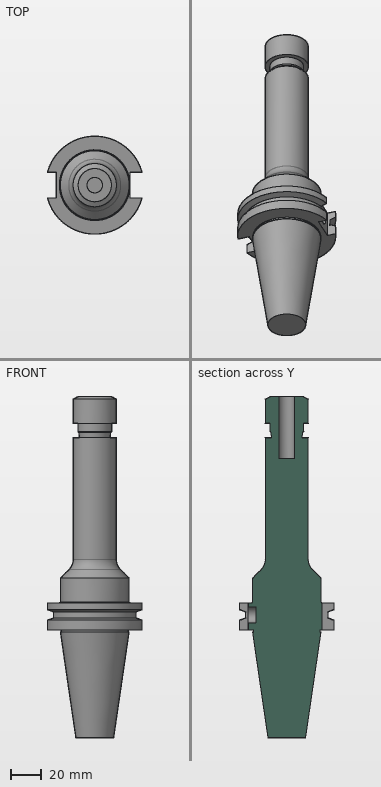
import math

import cadquery as cq


gauge_diameter = 44.45
taper_ratio = 7 / 24
taper_length = 68.25
relief_diameter = 43.6

flange_diameter = 63.5
flange_bottom = 1.4
flange_top = 19.05
groove_bottom_diameter = 55.8
groove_center = 11.2
groove_floor_width = 3.9
groove_mouth_width = 6.8

slot_width = 16.38
slot_face_left = 25.0
slot_face_right = 22.9
dimple_diameter = 10.0
dimple_depth = 5.0

collar_diameter = 45.8
collar_height = 0.5
body_diameter = gauge_diameter
body_top = 35.0
shoulder_angle = 45
blend_radius = 9.5
stem_diameter = 28.0
stem_top = 125.8

projection = 152.4
nose_root_diameter = 20.0
nose_diameter = 20.7
skirt_diameter = 22.0
skirt_step_height = 0.65
skirt_bottom = 129.7
nut_bottom = 135.0
nut_diameter = 28.0
nut_face_diameter = 21.5
nut_chamfer_height = 1.7
bore_diameter = 10.0
bore_depth = 40.0


def tan_deg(angle):
    return math.tan(math.radians(angle))


def make_turned_body():
    """Revolve the half outline of all turned surfaces about Z."""
    flange_r = flange_diameter / 2
    groove_r = groove_bottom_diameter / 2
    body_r = body_diameter / 2
    stem_r = stem_diameter / 2
    tip_r = (gauge_diameter - taper_length * taper_ratio) / 2

    mouth_low = groove_center - groove_mouth_width / 2
    mouth_high = groove_center + groove_mouth_width / 2
    floor_low = groove_center - groove_floor_width / 2
    floor_high = groove_center + groove_floor_width / 2
    collar_top = flange_top + collar_height

    half_sweep = math.radians(shoulder_angle / 2)
    full_sweep = math.radians(shoulder_angle)
    blend_end_r = stem_r + blend_radius * (1 - math.cos(full_sweep))
    blend_end_z = body_top + (body_r - blend_end_r) * tan_deg(shoulder_angle)
    blend_start_z = blend_end_z + blend_radius * math.sin(full_sweep)
    blend_mid_r = stem_r + blend_radius * (1 - math.cos(half_sweep))
    blend_mid_z = blend_start_z - blend_radius * math.sin(half_sweep)

    outline = (
        cq.Workplane("XZ")
        .moveTo(0, -taper_length)
        .lineTo(tip_r, -taper_length)
        .lineTo(gauge_diameter / 2, 0)
        .lineTo(relief_diameter / 2, 0)
        .lineTo(relief_diameter / 2, flange_bottom)
        .lineTo(flange_r, flange_bottom)
        .lineTo(flange_r, mouth_low)
        .lineTo(groove_r, floor_low)
        .lineTo(groove_r, floor_high)
        .lineTo(flange_r, mouth_high)
        .lineTo(flange_r, flange_top)
        .lineTo(collar_diameter / 2, flange_top)
        .lineTo(body_r, collar_top)
        .lineTo(body_r, body_top)
        .lineTo(blend_end_r, blend_end_z)
        .threePointArc((blend_mid_r, blend_mid_z), (stem_r, blend_start_z))
        .lineTo(stem_r, stem_top)
        .lineTo(nose_root_diameter / 2, stem_top)
        .lineTo(nose_diameter / 2, skirt_bottom - skirt_step_height)
        .lineTo(skirt_diameter / 2, skirt_bottom)
        .lineTo(skirt_diameter / 2, nut_bottom)
        .lineTo(nut_diameter / 2, nut_bottom)
        .lineTo(nut_diameter / 2, projection - nut_chamfer_height)
        .lineTo(nut_face_diameter / 2, projection)
        .lineTo(0, projection)
        .close()
    )
    return outline.revolve(360, (0, 0, 0), (0, 1, 0))


def make_drive_slot(side, floor_distance):
    """Box that cuts one drive slot through the flange; side is -1 or +1 along X."""
    slot_height = flange_top + collar_height - flange_bottom
    return (
        cq.Workplane("XY")
        .box(flange_diameter, slot_width, slot_height, centered=(True, True, False))
        .translate((side * (floor_distance + flange_diameter / 2), 0, flange_bottom))
    )


def make_dimple():
    """Blind locating hole in the floor of the -X slot."""
    return (
        cq.Workplane("YZ", origin=(-slot_face_left, 0, groove_center))
        .circle(dimple_diameter / 2)
        .extrude(dimple_depth)
    )


def make_bore():
    """Blind tool bore in the nut face."""
    return (
        cq.Workplane("XY", origin=(0, 0, projection - bore_depth))
        .circle(bore_diameter / 2)
        .extrude(bore_depth)
    )


result = (
    make_turned_body()
    .cut(make_drive_slot(-1, slot_face_left))
    .cut(make_drive_slot(1, slot_face_right))
    .cut(make_dimple())
    .cut(make_bore())
)